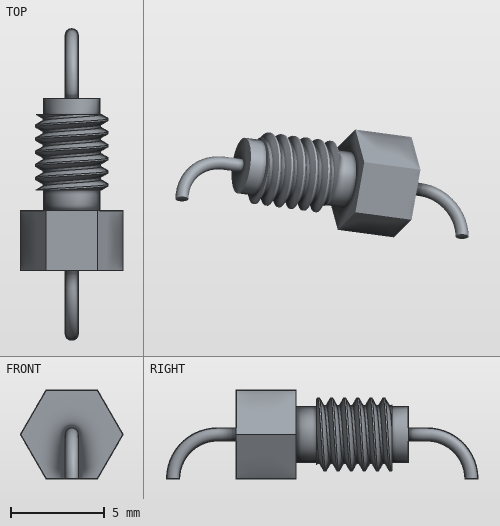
import cadquery as cq
import math

head_across_flats = 4.75
head_across_corners = head_across_flats / math.cos(math.pi / 6)
head_length = 3.2

shank_diameter = 3.0
shank_length = 6.0

thread_start = 1.1
thread_length = 4.03
thread_pitch = 0.7
thread_major_radius = 1.95
thread_root_radius = 1.55
thread_crest_width = 0.09
thread_flank_angle = 30.0
thread_first_crest = 0.39 * thread_pitch
ridge_allowance = thread_pitch
core_allowance = 2 * thread_pitch
thread_root_overlap = 0.08

lead_diameter = 0.7
lead_straight_length = 1.0
lead_bend_radius = head_across_flats / 2


def cylinder_along_y(radius, start, length):
    axis_plane = cq.Plane(origin=(0, start, 0), xDir=(1, 0, 0), normal=(0, 1, 0))
    return cq.Workplane(axis_plane).circle(radius).extrude(length)


def make_head():
    return cq.Workplane("XZ").polygon(6, head_across_corners).extrude(head_length)


def make_ridge():
    base_radius = thread_root_radius - thread_root_overlap
    ridge_height = thread_major_radius - base_radius
    half_crest = thread_crest_width / 2
    half_base = half_crest + ridge_height * math.tan(math.radians(thread_flank_angle))
    sweep_length = thread_length + 2 * ridge_allowance
    helix = cq.Wire.makeHelix(thread_pitch, sweep_length, base_radius)
    ridge = (
        cq.Workplane("XZ")
        .moveTo(base_radius, -half_base)
        .lineTo(thread_major_radius, -half_crest)
        .lineTo(thread_major_radius, half_crest)
        .lineTo(base_radius, half_base)
        .close()
        .sweep(cq.Workplane(helix), isFrenet=True)
    )
    ridge_start = thread_start + thread_first_crest - ridge_allowance
    return ridge.rotate((0, 0, 0), (1, 0, 0), -90).translate((0, ridge_start, 0))


def make_thread():
    core_start = thread_start - core_allowance
    core_length = thread_length + 2 * core_allowance
    core = cylinder_along_y(thread_root_radius, core_start, core_length)
    envelope = cylinder_along_y(2 * thread_major_radius, thread_start, thread_length)
    return core.union(make_ridge()).intersect(envelope)


def make_lead(root, direction):
    bend_start = root + direction * lead_straight_length
    bend_end = bend_start + direction * lead_bend_radius
    bend_offset = lead_bend_radius * math.sin(math.pi / 4)
    bend_middle = bend_start + direction * bend_offset
    path = (
        cq.Workplane("YZ")
        .moveTo(root, 0)
        .lineTo(bend_start, 0)
        .threePointArc((bend_middle, bend_offset - lead_bend_radius), (bend_end, -lead_bend_radius))
    )
    section_plane = cq.Plane(origin=(0, root, 0), xDir=(1, 0, 0), normal=(0, direction, 0))
    return cq.Workplane(section_plane).circle(lead_diameter / 2).sweep(path)


shank = cylinder_along_y(shank_diameter / 2, 0, shank_length)
head_lead = make_lead(-head_length, -1)
shank_lead = make_lead(shank_length, 1)

result = make_head().union(shank).union(make_thread()).union(head_lead).union(shank_lead)